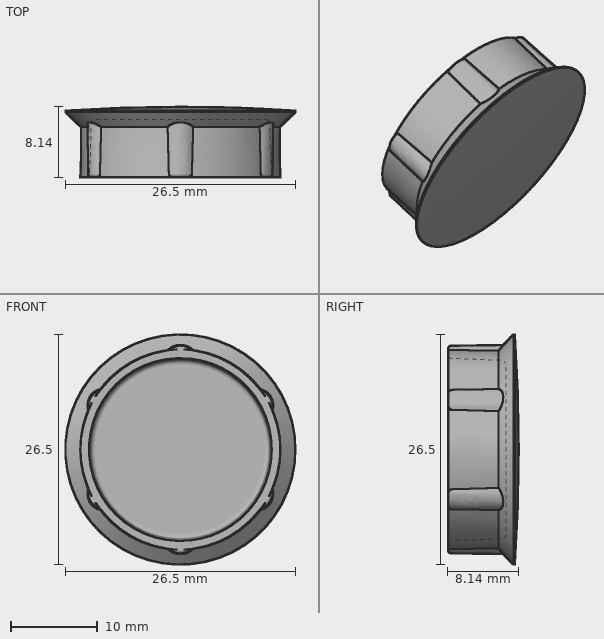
import cadquery as cq
import math

total_depth = 8.14
flange_radius = 13.25
dome_height = 0.45
flange_edge = 0.19
wall_length = 5.8
wall_radius_open = 11.53
wall_radius_flange = 11.47

cavity_depth = 6.65
cavity_radius_open = 10.52
cavity_radius_floor = 10.25
cavity_fillet = 0.5

rib_count = 6
rib_radius = 2.0
rib_crest_open = 11.95
rib_crest_flange = 12.03
rib_end_fillet = 0.37

dome_edge_y = total_depth - dome_height
cone_end_y = dome_edge_y - flange_edge


def revolve_about_y(profile):
    return profile.close().revolve(360, (0, 0, 0), (0, 1, 0))


def make_body():
    """Tapered wall, conical flange and shallow spherical dome, all solid."""
    dome_radius = (flange_radius**2 + dome_height**2) / (2 * dome_height)
    mid_radius = flange_radius / 2
    mid_y = total_depth - dome_radius + math.sqrt(dome_radius**2 - mid_radius**2)
    return revolve_about_y(
        cq.Workplane("XY")
        .lineTo(wall_radius_open, 0)
        .lineTo(wall_radius_flange, wall_length)
        .lineTo(flange_radius, cone_end_y)
        .lineTo(flange_radius, dome_edge_y)
        .threePointArc((mid_radius, mid_y), (0, total_depth))
    )


def make_cavity():
    """Tapered blind recess with a rounded floor edge."""
    recess = revolve_about_y(
        cq.Workplane("XY")
        .lineTo(cavity_radius_open, 0)
        .lineTo(cavity_radius_floor, cavity_depth)
        .lineTo(0, cavity_depth)
    )
    return recess.faces(">Y").edges().fillet(cavity_fillet)


def make_rib():
    """Round rod sunk in the wall, leaning inward towards the open end."""
    lean = (rib_crest_flange - rib_crest_open) / wall_length
    crest_at_cone_end = rib_crest_open + lean * cone_end_y
    rod = (
        cq.Workplane("XZ")
        .center(0, rib_crest_open - rib_radius)
        .circle(rib_radius)
        .workplane(offset=-cone_end_y)
        .center(0, crest_at_cone_end - rib_crest_open)
        .circle(rib_radius)
        .loft(ruled=True)
    )
    return rod.faces("<Y").edges().fillet(rib_end_fillet)


result = make_body()
rib = make_rib()
for index in range(rib_count):
    angle = index * 360 / rib_count
    result = result.union(rib.rotate((0, 0, 0), (0, 1, 0), angle))
result = result.cut(make_cavity())